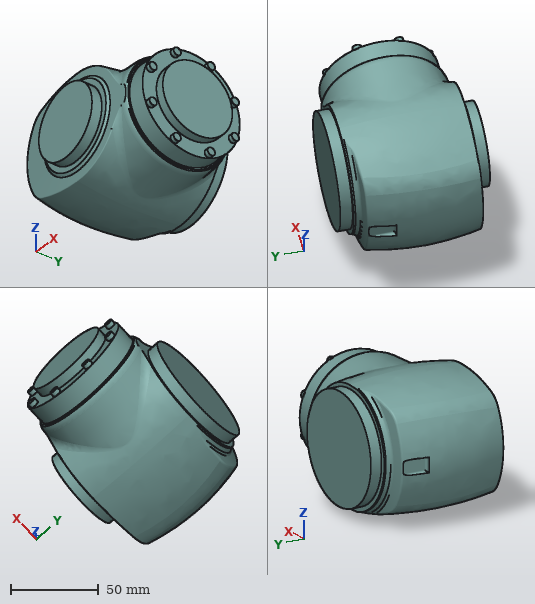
import cadquery as cq
import math


BODY_RADIUS = 40.5
BODY_BULGE = 0.00227
BACK_X = -52.5
BACK_BULGE = 0.0038
BACK_PEAK_Y = -3.5
BACK_ARC_RADIUS = 50.0
FLANK_ARC_RADIUS = 91.0
CORNER_RADIUS = 16.0
BODY_BLANK_HALF_LENGTH = 50.0
RIM_FILLET = 0.7

NECK_BASE_RADIUS = 39.45
COLLAR_X = 40.9
COLLAR_RADIUS = 37.8
NECK_END_X = 45.9
NECK_END_RADIUS = 36.8
COLLAR_ARC_SAG = 0.25
COLLAR_BAND = 0.3
NECK_END_CHAMFER = 0.7
NECK_BLEND_RADIUS = 5.5
NECK_BLANK_LENGTH = 70.0

FLANGE_RADIUS = 35.0
FLANGE_END_X = 58.0
COVER_RADIUS = 25.0
COVER_END_X = 64.0
SCREW_COUNT = 8
SCREW_CIRCLE_RADIUS = 32.0
SCREW_RADIUS = 2.65
SCREW_HEIGHT = 3.0

REAR_FACE_Y = 36.9
REAR_DISC_RADIUS = 35.0
REAR_END_Y = 44.0
PAD_BASE_RADIUS = 31.0
PAD_BASE_Y = -37.6
PAD_TOP_RADIUS = 29.0
PAD_TOP_Y = -39.0
FRONT_RIM_RADIUS = 48.0
FRONT_RIM_Y = -36.8
FRONT_DISC_RADIUS = 25.0
FRONT_END_Y = -46.0

STEP_RIM_RADIUS = 38.0
STEP_RIM_Y = 35.8
STEP_WALL_RADIUS = 39.4
STEP_WALL_Y = 33.4
STEP_ROOT_RADIUS = 41.0
STEP_ROOT_Y = 32.4
STEP_OUTER_RADIUS = 48.0
STEP_OUTER_Y = 31.0
STEP_ARC_SAG = 0.2
STEP_EDGE_FILLET = 1.5

POCKET_FLOOR_X = -48.1
POCKET_END_Y = 14.8
POCKET_HALF_WIDTH = 4.7
POCKET_FLOOR_FILLET = 1.2

CLEARANCE = 20.0


def point_on(center, target, radius):
    """Point at a radius from a center, in the direction of a target."""
    dx = target[0] - center[0]
    dz = target[1] - center[1]
    scale = radius / math.hypot(dx, dz)
    return (center[0] + dx * scale, center[1] + dz * scale)


def arc_middle(center, start, end, radius):
    """Middle of the short arc between two points of a circle."""
    chord_middle = ((start[0] + end[0]) / 2, (start[1] + end[1]) / 2)
    return point_on(center, chord_middle, radius)


def body_section(y):
    """Closed outline of the body at a given Y: back, two corners, two flanks and a half circle."""
    radius = BODY_RADIUS - BODY_BULGE * y**2
    back_x = BACK_X + BACK_BULGE * (y - BACK_PEAK_Y) ** 2
    back_center = (back_x + BACK_ARC_RADIUS, 0)
    flank_center = (0, radius - FLANK_ARC_RADIUS)

    to_back = BACK_ARC_RADIUS - CORNER_RADIUS
    to_flank = FLANK_ARC_RADIUS - CORNER_RADIUS
    dx = flank_center[0] - back_center[0]
    dz = flank_center[1] - back_center[1]
    span = math.hypot(dx, dz)
    along = (to_back**2 - to_flank**2 + span**2) / (2 * span)
    across = math.sqrt(to_back**2 - along**2)
    corner_center = (
        back_center[0] + (along * dx + across * dz) / span,
        back_center[1] + (along * dz - across * dx) / span,
    )
    back_end = point_on(corner_center, back_center, -CORNER_RADIUS)
    flank_end = point_on(corner_center, flank_center, -CORNER_RADIUS)
    corner_middle = arc_middle(corner_center, back_end, flank_end, CORNER_RADIUS)
    top = (0, radius)
    flank_middle = arc_middle(flank_center, flank_end, top, FLANK_ARC_RADIUS)

    def at(point, side=1):
        return cq.Vector(point[0], y, side * point[1])

    def arc(start, middle, end, side=1):
        return cq.Edge.makeThreePointArc(at(start, side), at(middle, side), at(end, side))

    return cq.Wire.assembleEdges([
        cq.Edge.makeThreePointArc(at(back_end, -1), at((back_x, 0)), at(back_end)),
        arc(back_end, corner_middle, flank_end),
        arc(flank_end, flank_middle, top),
        cq.Edge.makeThreePointArc(at(top), at((radius, 0)), at(top, -1)),
        arc(top, flank_middle, flank_end, -1),
        arc(flank_end, corner_middle, back_end, -1),
    ])


def disc_y(radius, start_y, end_y):
    return cq.Workplane("XZ", origin=(0, start_y, 0)).circle(radius).extrude(start_y - end_y)


def disc_x(radius, start_x, end_x):
    return cq.Workplane("YZ", origin=(start_x, 0, 0)).circle(radius).extrude(end_x - start_x)


def make_neck_blank():
    """Cone around X, reaching past the collar so that the blend has room to run out."""
    taper = (COLLAR_RADIUS - NECK_BASE_RADIUS) / COLLAR_X
    end_radius = NECK_BASE_RADIUS + taper * NECK_BLANK_LENGTH
    profile = (
        cq.Workplane("XY")
        .lineTo(0, NECK_BASE_RADIUS)
        .lineTo(NECK_BLANK_LENGTH, end_radius)
        .lineTo(NECK_BLANK_LENGTH, 0)
        .close()
    )
    return profile.revolve(360, (0, 0, 0), (1, 0, 0))


def make_collar():
    """Crowned ring at the neck end: a narrow straight band, the crown and a small chamfer."""
    profile = (
        cq.Workplane("XY")
        .moveTo(COLLAR_X, 0)
        .lineTo(COLLAR_X, COLLAR_RADIUS)
        .lineTo(COLLAR_X + COLLAR_BAND, COLLAR_RADIUS)
        .sagittaArc((NECK_END_X - NECK_END_CHAMFER, NECK_END_RADIUS), COLLAR_ARC_SAG)
        .lineTo(NECK_END_X, NECK_END_RADIUS - NECK_END_CHAMFER)
        .lineTo(NECK_END_X, 0)
        .close()
    )
    return profile.revolve(360, (0, 0, 0), (1, 0, 0))


def make_blended_body():
    """Body and neck joined, with the valley between them rounded."""
    sections = [body_section(y) for y in (-BODY_BLANK_HALF_LENGTH, 0, BODY_BLANK_HALF_LENGTH)]
    body = cq.Workplane(cq.Solid.makeLoft(sections))
    joined = body.union(make_neck_blank())
    valley = cq.selectors.BoxSelector(
        (0, -BODY_RADIUS, -BODY_RADIUS),
        (COLLAR_X, BODY_RADIUS, BODY_RADIUS),
        boundingbox=True,
    )
    blended = joined.edges(valley).fillet(NECK_BLEND_RADIUS)
    beyond_collar = disc_x(2 * BODY_RADIUS, COLLAR_X, COLLAR_X + NECK_BLANK_LENGTH)
    return blended.cut(beyond_collar)


def make_end_trim():
    """Space between the flat rear face and the slightly conical front face."""
    reach = COVER_END_X + CLEARANCE
    slope = (FRONT_RIM_Y - PAD_BASE_Y) / (FRONT_RIM_RADIUS - PAD_BASE_RADIUS)
    outer_y = FRONT_RIM_Y + slope * (reach - FRONT_RIM_RADIUS)
    profile = (
        cq.Workplane("XY")
        .moveTo(0, REAR_FACE_Y)
        .lineTo(reach, REAR_FACE_Y)
        .lineTo(reach, outer_y)
        .lineTo(PAD_BASE_RADIUS, PAD_BASE_Y)
        .lineTo(0, PAD_BASE_Y)
        .close()
    )
    return profile.revolve(360, (0, 0, 0), (0, 1, 0))


def make_rear_step():
    """Ring cut away from the back half, behind the rear rim."""
    reach = -BACK_X + CLEARANCE
    slope = (STEP_OUTER_Y - STEP_ROOT_Y) / (STEP_OUTER_RADIUS - STEP_ROOT_RADIUS)
    profile = (
        cq.Workplane("XY")
        .moveTo(STEP_RIM_RADIUS, REAR_END_Y)
        .lineTo(STEP_RIM_RADIUS, STEP_RIM_Y)
        .lineTo(STEP_WALL_RADIUS, STEP_WALL_Y)
        .sagittaArc((STEP_ROOT_RADIUS, STEP_ROOT_Y), -STEP_ARC_SAG)
        .lineTo(reach, STEP_OUTER_Y + slope * (reach - STEP_OUTER_RADIUS))
        .lineTo(reach, REAR_END_Y)
        .close()
    )
    ring = profile.revolve(360, (0, 0, 0), (0, 1, 0))
    back_half = cq.Workplane("XY").box(reach, 2 * reach, 2 * reach).translate((-reach / 2, 0, 0))
    return ring.intersect(back_half)


def make_pocket():
    length = REAR_FACE_Y - POCKET_END_Y
    pocket = (
        cq.Workplane("YZ", origin=(POCKET_FLOOR_X, POCKET_END_Y + length / 2, 0))
        .rect(length, 2 * POCKET_HALF_WIDTH)
        .extrude(-CLEARANCE)
    )
    return pocket.faces(">X").edges("not(>Y)").fillet(POCKET_FLOOR_FILLET)


def make_front_pad():
    profile = (
        cq.Workplane("XY")
        .moveTo(0, PAD_BASE_Y)
        .lineTo(PAD_BASE_RADIUS, PAD_BASE_Y)
        .lineTo(PAD_TOP_RADIUS, PAD_TOP_Y)
        .lineTo(0, PAD_TOP_Y)
        .close()
    )
    return profile.revolve(360, (0, 0, 0), (0, 1, 0))


def make_screws():
    return (
        cq.Workplane("YZ", origin=(FLANGE_END_X, 0, 0))
        .polarArray(SCREW_CIRCLE_RADIUS, 180 / SCREW_COUNT, 360, SCREW_COUNT)
        .circle(SCREW_RADIUS)
        .extrude(SCREW_HEIGHT)
    )


def make_housing():
    """Blended body trimmed at both ends, with the rear step, rounded rims, collar and pocket."""
    housing = make_blended_body().intersect(make_end_trim())
    front_rim = cq.selectors.BoxSelector(
        (BACK_X, PAD_BASE_Y, -BODY_RADIUS),
        (COLLAR_X - RIM_FILLET, FRONT_RIM_Y + RIM_FILLET, BODY_RADIUS),
    )
    housing = housing.edges("%BSPLINE").edges(front_rim).fillet(RIM_FILLET)

    housing = housing.cut(make_rear_step())
    step_edge = cq.selectors.BoxSelector(
        (BACK_X, STEP_OUTER_Y - STEP_EDGE_FILLET, -BODY_RADIUS),
        (-PAD_BASE_RADIUS, STEP_OUTER_Y + STEP_EDGE_FILLET, BODY_RADIUS),
        boundingbox=True,
    )
    housing = housing.edges(step_edge).fillet(STEP_EDGE_FILLET)
    return housing.union(make_collar().intersect(make_end_trim())).cut(make_pocket())


result = (
    make_housing()
    .union(disc_y(REAR_DISC_RADIUS, 0, REAR_END_Y))
    .union(make_front_pad())
    .union(disc_y(FRONT_DISC_RADIUS, 0, FRONT_END_Y))
    .union(disc_x(FLANGE_RADIUS, 0, FLANGE_END_X))
    .union(disc_x(COVER_RADIUS, 0, COVER_END_X))
    .union(make_screws())
)